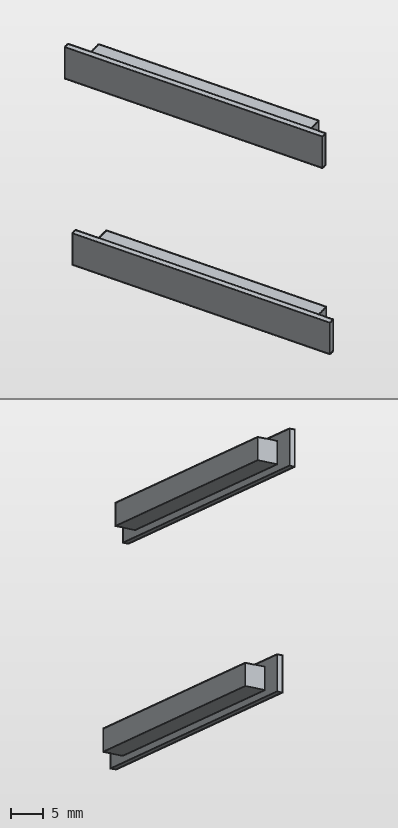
import cadquery as cq

plate_length = 45.8
plate_thickness = 1.0
plate_height = 6.0

block_length = 39.15
block_depth = 3.6
block_height = 3.75

overall_height = 42.85
upper_rise = overall_height - plate_height
upper_forward_shift = 2.3


def make_slide(front_y, center_z):
    """One T-section slide: a face plate with a shorter block behind it."""
    plate = cq.Workplane("XY").box(
        plate_length, plate_thickness, plate_height, centered=(True, False, True)
    )
    block = (
        cq.Workplane("XY")
        .box(block_length, block_depth, block_height, centered=(True, False, True))
        .translate((0, plate_thickness, 0))
    )
    return plate.union(block).translate((0, front_y, center_z))


slide_places = [(0, 0), (-upper_forward_shift, upper_rise)]
slides = [make_slide(front_y, center_z) for front_y, center_z in slide_places]

result = cq.Compound.makeCompound([slide.val() for slide in slides])